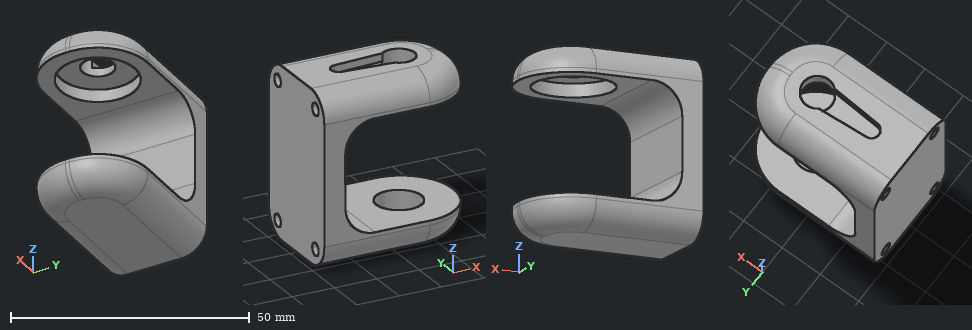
import cadquery as cq
import math

length = 37.0
width = 25.0
height = 40.0
nose_radius = 12.0
edge_radius = 6.0

back_thickness = 5.0
opening_height = 26.0
opening_radius = 7.0
arm_thickness = (height - opening_height) / 2

bore_x = 24.2
bore_diameter = 7.35
slot_end_x = 10.1
slot_end_radius = 1.9
slot_bore_radius = 2.9
slot_depth = 1.9

recess_diameter = 18.0
recess_depth = 3.0

pocket_diameter = 10.6
pocket_depth = 5.3

screw_diameter = 2.9
screw_depth = 5.0
screw_spacing_y = 17.0
screw_spacing_z = 32.0


def rounded_body():
    """Block with a rounded nose and rounded top and bottom edges."""
    block = cq.Workplane("XY").box(length, width, height, centered=(False, True, True))
    nosed = block.edges("|Z and >X").fillet(nose_radius)
    return nosed.faces(">Z or <Z").edges("not <X").fillet(edge_radius)


def arm_opening():
    """Opening across the full width, rounded where the arms meet the back plate."""
    return (
        cq.Workplane("XY")
        .box(length, width, opening_height, centered=(False, True, True))
        .edges("|Y and <X")
        .fillet(opening_radius)
        .translate((back_thickness, 0, 0))
    )


def keyhole():
    """Through bore and the tapered slot whose sides are tangent to the end arc."""
    bore = (
        cq.Workplane("XY", origin=(bore_x, 0, opening_height / 2))
        .circle(bore_diameter / 2)
        .extrude(arm_thickness)
    )
    taper = math.asin((slot_bore_radius - slot_end_radius) / (bore_x - slot_end_x))
    across = math.cos(taper)
    along = -math.sin(taper)
    end_tangent_x = slot_end_x + slot_end_radius * along
    end_tangent_y = slot_end_radius * across
    bore_tangent_x = bore_x + slot_bore_radius * along
    bore_tangent_y = slot_bore_radius * across
    slot = (
        cq.Workplane("XY", origin=(0, 0, height / 2))
        .moveTo(bore_tangent_x, bore_tangent_y)
        .lineTo(end_tangent_x, end_tangent_y)
        .threePointArc((slot_end_x - slot_end_radius, 0), (end_tangent_x, -end_tangent_y))
        .lineTo(bore_tangent_x, -bore_tangent_y)
        .close()
        .extrude(-slot_depth)
    )
    return bore.union(slot)


def upper_recess():
    """Wide recess in the underside of the upper arm, concentric with the bore."""
    return (
        cq.Workplane("XY", origin=(bore_x, 0, opening_height / 2))
        .circle(recess_diameter / 2)
        .extrude(recess_depth)
    )


def lower_pocket():
    """Blind pocket in the lower arm, in line with the bore."""
    return (
        cq.Workplane("XY", origin=(bore_x, 0, -opening_height / 2))
        .circle(pocket_diameter / 2)
        .extrude(-pocket_depth)
    )


def screw_holes():
    """Four blind holes in the corners of the back face."""
    return (
        cq.Workplane("YZ")
        .rect(screw_spacing_y, screw_spacing_z, forConstruction=True)
        .vertices()
        .circle(screw_diameter / 2)
        .extrude(screw_depth)
    )


result = (
    rounded_body()
    .cut(arm_opening())
    .cut(keyhole())
    .cut(upper_recess())
    .cut(lower_pocket())
    .cut(screw_holes())
)